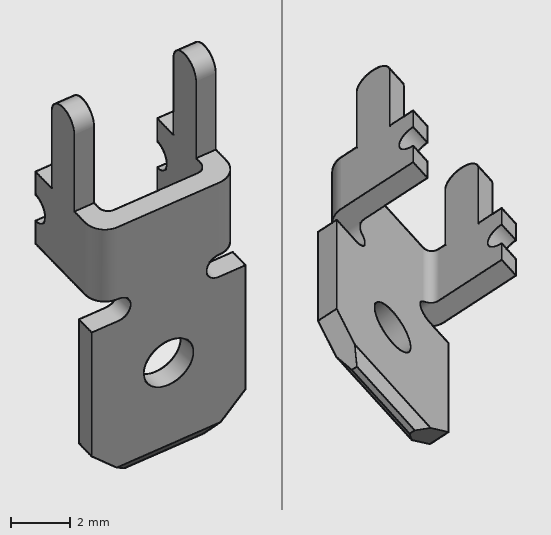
import cadquery as cq
import math


thickness = 0.8
height = 15.6
depth = 3.85

blade_width = 6.2
blade_top = 7.13
corner_cut = 1.5
bevel_height = 0.5
bevel_angle = 30.0
bevel_depth = bevel_height * math.tan(math.radians(bevel_angle))
hole_diameter = 2.0
hole_height = 4.23

channel_width = 5.7
shoulder_height = 11.4
fold_inner_radius = 0.37
fold_outer_radius = thickness

relief_radius = 0.5
relief_center_y = 2.03
relief_center_z = blade_top + relief_radius
arm_bottom = blade_top + 2 * relief_radius

pin_width = 1.4
pin_setback = 1.0
notch_radius = 0.6


def make_blade():
    """Flat plate with cut lower corners and a bevelled tip."""
    blade = (
        cq.Workplane("XY")
        .box(thickness, blade_width, blade_top, centered=(False, True, False))
        .translate((-thickness, 0, 0))
        .edges("|X and <Z")
        .chamfer(corner_cut)
    )
    return blade.intersect(make_bevel_envelope())


def make_bevel_envelope():
    """Side profile of the blade, tapered symmetrically to its blunt tip."""
    return (
        cq.Workplane("XZ")
        .moveTo(-bevel_depth, 0)
        .lineTo(0, bevel_height)
        .lineTo(0, blade_top)
        .lineTo(-thickness, blade_top)
        .lineTo(-thickness, bevel_height)
        .lineTo(bevel_depth - thickness, 0)
        .close()
        .extrude(blade_width / 2, both=True)
    )


def make_channel():
    """U-shaped channel with rounded folds, tall enough to hold the pins."""
    channel_height = height - blade_top
    outer = (
        cq.Workplane("XY", origin=(-depth / 2, 0, blade_top))
        .box(depth, channel_width, channel_height, centered=(True, True, False))
        .edges("|Z and >X")
        .fillet(fold_outer_radius)
    )
    inner_depth = depth - thickness
    inner = (
        cq.Workplane("XY", origin=(-thickness - inner_depth / 2, 0, blade_top))
        .box(inner_depth, channel_width - 2 * thickness, channel_height, centered=(True, True, False))
        .edges("|Z and >X")
        .fillet(fold_inner_radius)
    )
    return outer.cut(inner)


def make_arm_envelope():
    """Side profile of the arms and web: notched front edge, round-ended pin, folds ending at the reliefs."""
    pin_front = pin_setback - depth
    pin_back = pin_front + pin_width
    pin_radius = pin_width / 2
    notch_height = (arm_bottom + shoulder_height) / 2
    return (
        cq.Workplane("XZ")
        .moveTo(0, blade_top)
        .lineTo(0, shoulder_height)
        .lineTo(pin_back, shoulder_height)
        .lineTo(pin_back, height - pin_radius)
        .threePointArc((pin_front + pin_radius, height), (pin_front, height - pin_radius))
        .lineTo(pin_front, shoulder_height)
        .lineTo(-depth, shoulder_height)
        .lineTo(-depth, notch_height + notch_radius)
        .threePointArc((notch_radius - depth, notch_height), (-depth, notch_height - notch_radius))
        .lineTo(-depth, arm_bottom)
        .lineTo(-thickness - fold_inner_radius, arm_bottom)
        .lineTo(-thickness - fold_inner_radius, relief_center_z)
        .lineTo(-thickness, relief_center_z)
        .lineTo(-thickness, blade_top)
        .close()
        .extrude(channel_width / 2, both=True)
    )


def make_relief(side):
    """Slot with a round inner end; side is +1 or -1 for the +Y or -Y edge."""
    inner_y = side * (relief_center_y - relief_radius)
    center_y = side * relief_center_y
    outer_y = side * blade_width / 2
    return (
        cq.Workplane("YZ")
        .moveTo(outer_y, blade_top)
        .lineTo(center_y, blade_top)
        .threePointArc((inner_y, relief_center_z), (center_y, arm_bottom))
        .lineTo(outer_y, arm_bottom)
        .close()
        .extrude(-depth)
    )


def make_hole():
    """Round hole through the blade."""
    return (
        cq.Workplane("YZ")
        .center(0, hole_height)
        .circle(hole_diameter / 2)
        .extrude(-thickness)
    )


result = make_blade().union(make_channel().intersect(make_arm_envelope()))
for edge_side in (-1, 1):
    result = result.cut(make_relief(edge_side))
result = result.cut(make_hole())